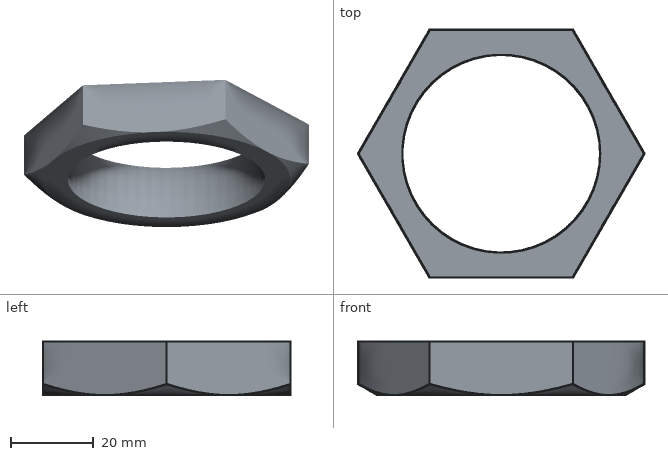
import cadquery as cq
import math

ACROSS_FLATS = 60.0
THICKNESS = 13.0
BORE_DIAMETER = 47.8
CHAMFER_ANGLE = 30.0

HEX_SIDES = 6
across_corners = ACROSS_FLATS / math.cos(math.pi / HEX_SIDES)
corner_radius = across_corners / 2
bottom_land_radius = ACROSS_FLATS / 2
chamfer_height = (corner_radius - bottom_land_radius) * math.tan(math.radians(CHAMFER_ANGLE))


def hex_body():
    """Hexagonal prism on the XY plane with two corners on the X axis."""
    return cq.Workplane("XY").polygon(HEX_SIDES, across_corners).extrude(THICKNESS)


def chamfer_envelope():
    """Disc through the hexagon corners, with a conical lower edge."""
    profile = [
        (0, 0),
        (bottom_land_radius, 0),
        (corner_radius, chamfer_height),
        (corner_radius, THICKNESS),
        (0, THICKNESS),
    ]
    return cq.Workplane("XZ").polyline(profile).close().revolve(360, (0, 0, 0), (0, 1, 0))


def bore():
    """Plain round hole through the full thickness."""
    return cq.Workplane("XY").circle(BORE_DIAMETER / 2).extrude(THICKNESS)


result = hex_body().intersect(chamfer_envelope()).cut(bore())